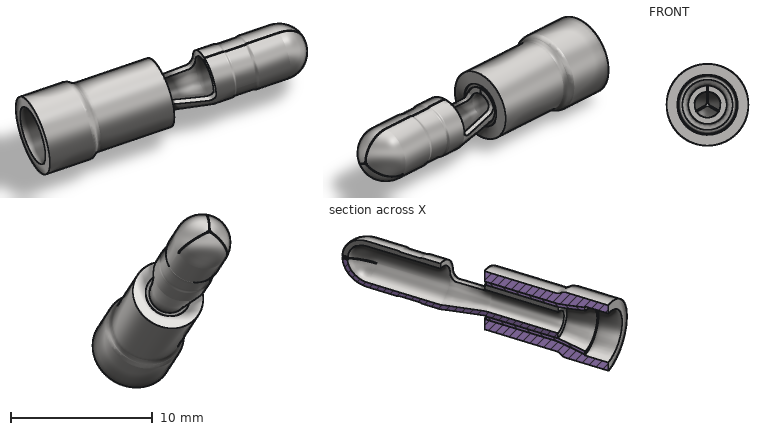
import cadquery as cq
import math

TOTAL_LENGTH = 21.1

HOUSING_REAR_RADIUS = 2.9
HOUSING_FRONT_RADIUS = 2.57
HOUSING_FRONT_Y = 9.81
SHOULDER_START_Y = 3.59
SHOULDER_FILLET = 0.5
ENTRY_RADIUS = 2.13
ENTRY_DEPTH = 1.85

SLEEVE_WALL = 0.27
FLARE_ANGLE = math.radians(11.0)
FLARE_MOUTH_RADIUS = 1.77

SHEET = 0.45
BARREL_RADIUS = 1.35
BARREL_FRONT_Y = 9.7
BULLET_RADIUS = 2.0
BULLET_BACK_Y = 13.31
SEAM_WIDTH = 0.074

GROOVE_DEPTH = 0.06
GROOVE_START_Y = 14.73
GROOVE_END_Y = 16.7
GROOVE_RAMP = 0.25

PETALS = 3
TIP_OPENING_RADIUS = 0.2

OPENING_BACK_Y = 9.8
OPENING_BACK_Z = 0.1
OPENING_FRONT_Z = -0.42
OPENING_FILLET = 0.5

SHOULDER_END_Y = SHOULDER_START_Y + HOUSING_REAR_RADIUS - HOUSING_FRONT_RADIUS
BARREL_BORE_RADIUS = BARREL_RADIUS - SHEET
BULLET_BORE_RADIUS = BULLET_RADIUS - SHEET
GROOVE_RADIUS = BULLET_RADIUS - GROOVE_DEPTH
SLEEVE_RADIUS = BARREL_RADIUS + SLEEVE_WALL
CUT_SIZE = 2 * BULLET_RADIUS

TIP_OPENING_INRADIUS = TIP_OPENING_RADIUS * math.cos(math.pi / PETALS)
DOME_Y = TOTAL_LENGTH - math.sqrt(BULLET_RADIUS ** 2 - TIP_OPENING_INRADIUS ** 2)

FLARE_RIM_RADIUS = FLARE_MOUTH_RADIUS + SLEEVE_WALL * math.cos(FLARE_ANGLE)
FLARE_MOUTH_Y = ENTRY_DEPTH - SLEEVE_WALL * math.sin(FLARE_ANGLE)
FLARE_INNER_END_Y = FLARE_MOUTH_Y + (FLARE_MOUTH_RADIUS - BARREL_RADIUS) / math.tan(FLARE_ANGLE)
FLARE_OUTER_END_Y = ENTRY_DEPTH + (FLARE_RIM_RADIUS - SLEEVE_RADIUS) / math.tan(FLARE_ANGLE)


def revolve_about_y(profile):
    """Close a (radius, Y) profile and turn it about the Y axis."""
    return profile.close().revolve(360, (0, 0, 0), (0, 1, 0))


def add_s_ramp(profile, start, end):
    """Add two equal tangent arcs that leave and arrive parallel to the Y axis."""
    start_radius, start_y = start
    end_radius, end_y = end
    rise = end_radius - start_radius
    run = end_y - start_y
    arc_radius = (rise ** 2 + run ** 2) / (4 * abs(rise))
    sag = math.copysign(arc_radius - math.sqrt(arc_radius ** 2 - (run / 4) ** 2), rise)
    middle = (start_radius + rise / 2, start_y + run / 2)
    profile = profile.threePointArc((start_radius + sag, start_y + run / 4), middle)
    return profile.threePointArc((end_radius - sag, end_y - run / 4), end)


def dome_point(radius):
    """Point halfway along a quarter circle of the dome."""
    offset = radius * math.cos(math.pi / 4)
    return (offset, DOME_Y + offset)


def make_housing():
    profile = (
        cq.Workplane("XY")
        .moveTo(ENTRY_RADIUS, 0)
        .lineTo(HOUSING_REAR_RADIUS, 0)
        .lineTo(HOUSING_REAR_RADIUS, SHOULDER_START_Y)
        .lineTo(HOUSING_FRONT_RADIUS, SHOULDER_END_Y)
        .lineTo(HOUSING_FRONT_RADIUS, HOUSING_FRONT_Y)
        .lineTo(SLEEVE_RADIUS, HOUSING_FRONT_Y)
        .lineTo(SLEEVE_RADIUS, FLARE_OUTER_END_Y)
        .lineTo(FLARE_RIM_RADIUS, ENTRY_DEPTH)
        .lineTo(ENTRY_RADIUS, ENTRY_DEPTH)
    )
    margin = 0.02
    shoulder_edges = cq.selectors.BoxSelector(
        (-margin, SHOULDER_START_Y - margin, -margin),
        (margin, SHOULDER_END_Y + margin, margin),
    )
    return revolve_about_y(profile).edges(shoulder_edges).fillet(SHOULDER_FILLET)


def make_crimp_sleeve():
    profile = (
        cq.Workplane("XY")
        .moveTo(BARREL_RADIUS, FLARE_INNER_END_Y)
        .lineTo(FLARE_MOUTH_RADIUS, FLARE_MOUTH_Y)
        .lineTo(FLARE_RIM_RADIUS, ENTRY_DEPTH)
        .lineTo(SLEEVE_RADIUS, FLARE_OUTER_END_Y)
        .lineTo(SLEEVE_RADIUS, BARREL_FRONT_Y)
        .lineTo(BARREL_RADIUS, BARREL_FRONT_Y)
    )
    return revolve_about_y(profile)


def make_contact_shell():
    """Barrel, conical neck, grooved bullet and hollow dome before any cuts."""
    profile = (
        cq.Workplane("XY")
        .moveTo(BARREL_BORE_RADIUS, FLARE_INNER_END_Y)
        .lineTo(BARREL_RADIUS, FLARE_INNER_END_Y)
        .lineTo(BARREL_RADIUS, BARREL_FRONT_Y)
        .lineTo(BULLET_RADIUS, BULLET_BACK_Y)
        .lineTo(BULLET_RADIUS, GROOVE_START_Y)
    )
    ramp_foot_y = GROOVE_START_Y + GROOVE_RAMP
    profile = add_s_ramp(profile, (BULLET_RADIUS, GROOVE_START_Y), (GROOVE_RADIUS, ramp_foot_y))
    ramp_foot_y = GROOVE_END_Y - GROOVE_RAMP
    profile = profile.lineTo(GROOVE_RADIUS, ramp_foot_y)
    profile = add_s_ramp(profile, (GROOVE_RADIUS, ramp_foot_y), (BULLET_RADIUS, GROOVE_END_Y))
    profile = (
        profile.lineTo(BULLET_RADIUS, DOME_Y)
        .threePointArc(dome_point(BULLET_RADIUS), (0, DOME_Y + BULLET_RADIUS))
        .lineTo(0, DOME_Y + BULLET_BORE_RADIUS)
        .threePointArc(dome_point(BULLET_BORE_RADIUS), (BULLET_BORE_RADIUS, DOME_Y))
        .lineTo(BULLET_BORE_RADIUS, BULLET_BACK_Y)
        .lineTo(BARREL_BORE_RADIUS, BARREL_FRONT_Y)
    )
    return revolve_about_y(profile)


def make_neck_opening():
    """Cutter that removes the upper part of the neck, with rounded lower corners."""
    cutter = (
        cq.Workplane("YZ")
        .moveTo(OPENING_BACK_Y, CUT_SIZE)
        .lineTo(OPENING_BACK_Y, OPENING_BACK_Z)
        .lineTo(BULLET_BACK_Y, OPENING_FRONT_Z)
        .lineTo(BULLET_BACK_Y, CUT_SIZE)
        .close()
        .extrude(CUT_SIZE, both=True)
    )
    return cutter.edges("|X").edges("not >Z").fillet(OPENING_FILLET)


def make_slit(start_y):
    """Thin cutter from the axis up through the top wall, from start_y to the tip."""
    slit = cq.Workplane("XY").box(
        SEAM_WIDTH, TOTAL_LENGTH - start_y, CUT_SIZE, centered=(True, False, False)
    )
    return slit.translate((0, start_y, 0))


def make_tip_opening():
    """Triangular cutter through the dome, with its corners on the slits."""
    corners = []
    for index in range(PETALS):
        angle = math.pi / 2 + 2 * math.pi * index / PETALS
        corners.append((TIP_OPENING_RADIUS * math.cos(angle), TIP_OPENING_RADIUS * math.sin(angle)))
    opening = cq.Workplane("XZ", origin=(0, DOME_Y, 0)).polyline(corners).close()
    return opening.extrude(-CUT_SIZE)


def make_contact():
    contact = make_contact_shell().cut(make_neck_opening())
    contact = contact.cut(make_slit(FLARE_INNER_END_Y))
    for index in range(1, PETALS):
        turn = 360 * index / PETALS
        contact = contact.cut(make_slit(DOME_Y).rotate((0, 0, 0), (0, 1, 0), turn))
    return contact.cut(make_tip_opening())


housing = make_housing()
crimp_sleeve = make_crimp_sleeve()
contact = make_contact()

result = cq.Compound.makeCompound(
    [housing.solids().val(), crimp_sleeve.solids().val(), contact.solids().val()]
)